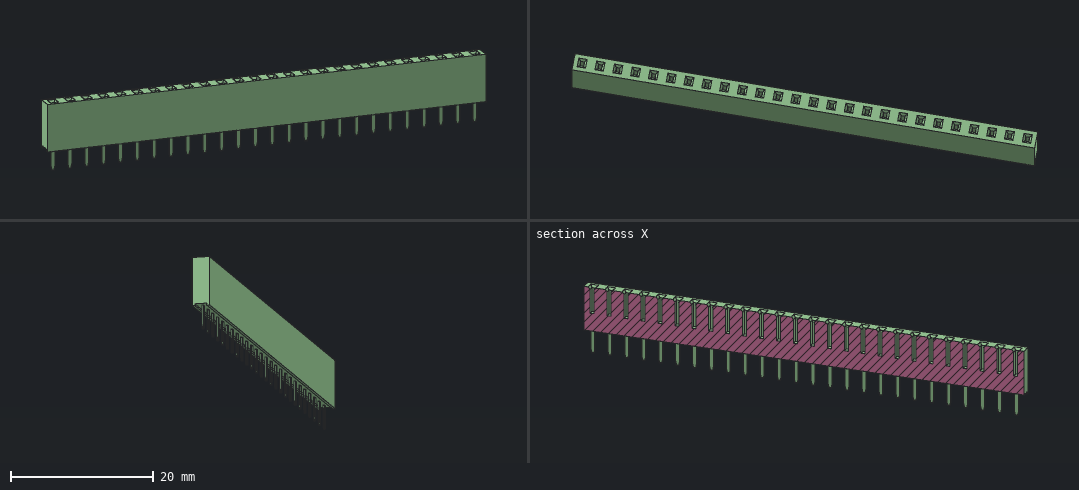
import cadquery as cq

contact_count = 26
length = 66.05
width = 2.5
total_height = 10.1
housing_height = 7.0
pitch = length / contact_count

foot_width = 0.4
foot_height = 0.25

socket_x = 0.65
socket_y = 0.5
socket_depth = 3.95
lead_in_depth = 0.3
lead_in_x = socket_x + 2 * lead_in_depth
lead_in_y = socket_y + 2 * lead_in_depth

pin_width = 0.6
pin_thickness = 0.2
pin_tip_width = 0.3
pin_tip_length = 0.5

pin_bottom = housing_height - total_height
contact_places = [(0, (i - (contact_count - 1) / 2) * pitch) for i in range(contact_count)]


def make_housing():
    """Long block with a shallow channel between two feet."""
    block = cq.Workplane("XY").box(width, length, housing_height, centered=(True, True, False))
    channel = cq.Workplane("XY").box(
        width - 2 * foot_width, length, foot_height, centered=(True, True, False)
    )
    return block.cut(channel)


def make_socket():
    """Cutting body for one socket opening in the top face."""
    lead_in = (
        cq.Workplane("XY", origin=(0, 0, housing_height))
        .rect(lead_in_x, lead_in_y)
        .workplane(offset=-lead_in_depth)
        .rect(socket_x, socket_y)
        .loft(combine=True)
    )
    hole = (
        cq.Workplane("XY", origin=(0, 0, housing_height - lead_in_depth))
        .rect(socket_x, socket_y)
        .extrude(lead_in_depth - socket_depth)
    )
    return lead_in.union(hole)


def make_pin():
    """One flat pin hanging from the channel roof, tapered at its tip."""
    shoulder = pin_bottom + pin_tip_length
    return (
        cq.Workplane("YZ")
        .polyline([
            (-pin_width / 2, foot_height),
            (-pin_width / 2, shoulder),
            (-pin_tip_width / 2, pin_bottom),
            (pin_tip_width / 2, pin_bottom),
            (pin_width / 2, shoulder),
            (pin_width / 2, foot_height),
        ])
        .close()
        .extrude(pin_thickness / 2, both=True)
    )


def at_every_contact(body):
    """Copy a body to every contact place along the housing."""
    shape = body.val()
    return cq.Workplane("XY").pushPoints(contact_places).eachpoint(lambda place: shape.moved(place))


sockets = at_every_contact(make_socket())
pins = at_every_contact(make_pin())
result = make_housing().cut(sockets.combine()).union(pins.combine())